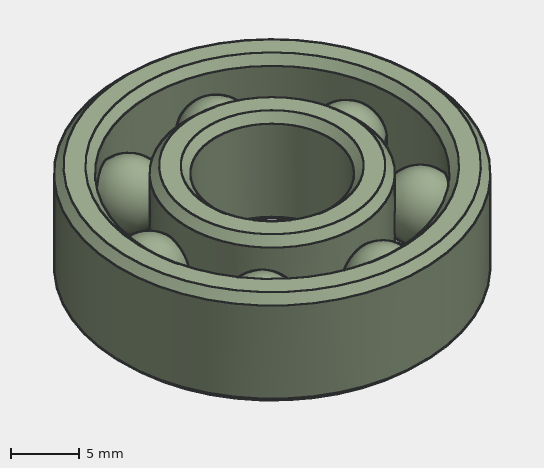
import cadquery as cq

outer_diameter = 32.0
width = 10.0
edge_chamfer = 0.7

bore_diameter = 12.0
inner_ring_outer_diameter = 18.0
outer_ring_inner_diameter = 26.0

ball_count = 7
ball_diameter = 6.0
first_ball_angle = 90.0
pitch_radius = (inner_ring_outer_diameter + outer_ring_inner_diameter) / 4


def chamfered_ring(outside, inside):
    """Ring centred on the origin with all four circular edges chamfered."""
    bottom_plane = cq.Workplane("XY").workplane(offset=-width / 2)
    ring = bottom_plane.circle(outside / 2).circle(inside / 2).extrude(width)
    return ring.faces("|Z").edges().chamfer(edge_chamfer)


def ball(angle):
    """Ball on the pitch circle, sunk into both rings so that it joins them."""
    sphere = cq.Workplane("XY").sphere(ball_diameter / 2).translate((pitch_radius, 0, 0))
    return sphere.rotate((0, 0, 0), (0, 0, 1), angle)


outer_ring = chamfered_ring(outer_diameter, outer_ring_inner_diameter)
inner_ring = chamfered_ring(inner_ring_outer_diameter, bore_diameter)

result = outer_ring
for index in range(ball_count):
    result = result.union(ball(first_ball_angle + index * 360 / ball_count))
result = result.union(inner_ring)